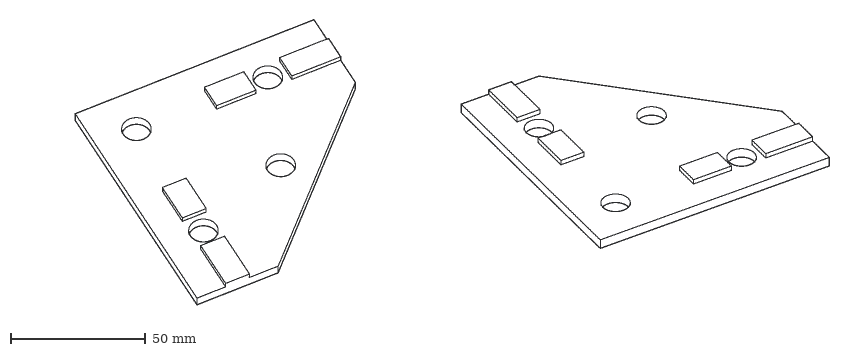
import cadquery as cq

side = 100.0
plate_thickness = 4.0
short_edge = 34.0

hole_diameter = 11.0
edge_offset = 17.0
arm_hole = 72.0
inner_hole = 57.0

rib_width = 10.0
rib_height = 2.0
rib_start = 48.0
rib_gap = 15.0


def make_plate():
    """Square plate with one corner cut off at 45 degrees."""
    outline = [(0, 0), (side, 0), (side, short_edge), (short_edge, side), (0, side)]
    return cq.Workplane("XY").polyline(outline).close().extrude(plate_thickness)


def make_rib(start, end, along_y):
    """Rib on the top face, from start to end along the X or the Y arm."""
    length = end - start
    middle = (start + end) / 2
    top = cq.Workplane("XY").workplane(offset=plate_thickness)
    if along_y:
        return top.center(edge_offset, middle).rect(rib_width, length).extrude(rib_height)
    return top.center(middle, edge_offset).rect(length, rib_width).extrude(rib_height)


def drill_holes(body):
    """Corner hole, one hole on each arm and one near the slanted edge."""
    centers = [
        (edge_offset, edge_offset),
        (arm_hole, edge_offset),
        (edge_offset, arm_hole),
        (inner_hole, inner_hole),
    ]
    drills = cq.Workplane("XY").pushPoints(centers).circle(hole_diameter / 2).extrude(plate_thickness)
    return body.cut(drills)


result = drill_holes(make_plate())
for along_y in (False, True):
    result = result.union(make_rib(rib_start, arm_hole - rib_gap / 2, along_y))
    result = result.union(make_rib(arm_hole + rib_gap / 2, side, along_y))